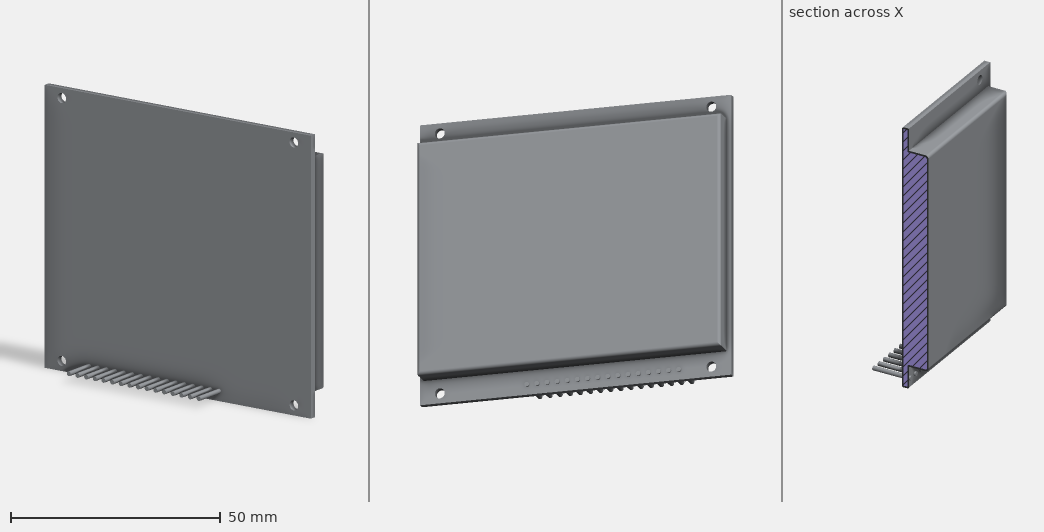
import cadquery as cq

board_width = 78.0
board_height = 70.0
board_thickness = 1.6

display_width = 76.0
display_height = 58.0
display_depth = 5.4
display_edge_radius = 0.8

hole_diameter = 2.5
hole_side_inset = 5.0
hole_end_inset = 2.5

pin_count = 16
pin_diameter = 1.2
pin_front_length = 8.35
pin_back_length = 0.5
pin_row_length = 38.1
first_pin_inset = 13.0


def make_board():
    plate = cq.Workplane("XY").box(
        board_width, board_thickness, board_height, centered=(True, False, True)
    ).translate((0, -board_thickness, 0))
    hole_spacing_x = board_width - 2 * hole_side_inset
    hole_spacing_z = board_height - 2 * hole_end_inset
    holes = (
        cq.Workplane("XZ")
        .rect(hole_spacing_x, hole_spacing_z, forConstruction=True)
        .vertices()
        .circle(hole_diameter / 2)
        .extrude(board_thickness)
    )
    return plate.cut(holes)


def make_display():
    body = cq.Workplane("XY").box(
        display_width, display_depth, display_height, centered=(True, False, True)
    )
    return body.faces(">Y").edges().fillet(display_edge_radius)


def make_pins():
    pitch = pin_row_length / (pin_count - 1)
    first_x = -board_width / 2 + first_pin_inset
    row_z = -board_height / 2 + hole_end_inset
    centres = [(first_x + i * pitch, row_z) for i in range(pin_count)]
    pin_length = pin_back_length + board_thickness + pin_front_length
    return (
        cq.Workplane("XZ", origin=(0, pin_back_length, 0))
        .pushPoints(centres)
        .circle(pin_diameter / 2)
        .extrude(pin_length)
    )


result = make_board().union(make_display()).union(make_pins())